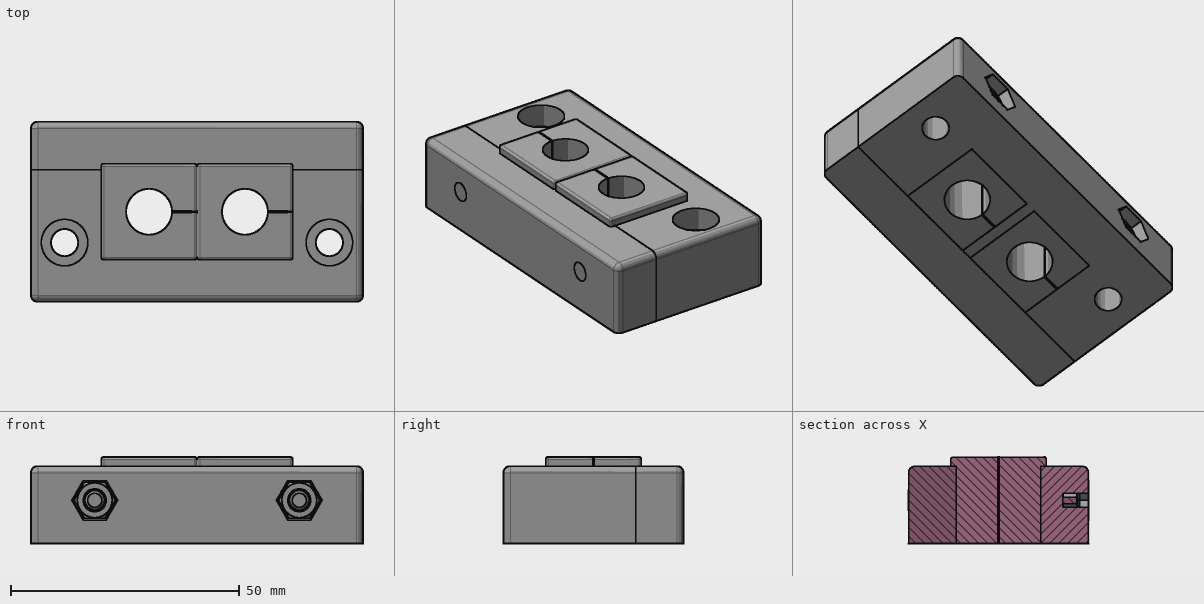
import cadquery as cq
import math

housing_length = 72.8
housing_width = 39.5
housing_height = 17.0
housing_round = 1.5
parting_y = 9.25

flange_size = 21.0
flange_thickness = 2.0
flange_round = 0.55
neck_size = 2 * parting_y
cable_hole_diameter = 10.0
slit_width = 0.3
grommet_xs = (-flange_size / 2, flange_size / 2)
grommet_height = housing_height + flange_thickness

mounting_x = 29.0
mounting_y = -6.75
mounting_hole_diameter = 5.9
counterbore_diameter = 10.2
counterbore_depth = 5.3

front_y = -housing_width / 2
rear_y = housing_width / 2
screw_x = 22.4
screw_z = 9.5
screw_diameter = 4.3
screw_tip_diameter = 3.1
screw_tip_length = 0.5
screw_tip_depth = 2.0
nut_across_flats = 7.9
nut_thickness = 3.2
nut_face_depth = 2.4
nut_face_diameter = 7.6
nut_mouth_diameter = 5.0
nut_chamfer_angle = 30.0
recess_across_flats = 8.65
recess_depth = nut_face_depth + nut_thickness


def mirrored_pair(x):
    return (-x, x)


def cylinder_along_y(diameter, x, y_start, y_end):
    """Cylinder at the height of the screws."""
    start = cq.Vector(x, y_start, screw_z)
    return cq.Workplane(cq.Solid.makeCylinder(diameter / 2, y_end - y_start, start, cq.Vector(0, 1, 0)))


def cone_along_y(start_diameter, end_diameter, x, y_start, y_end):
    """Cone at the height of the screws."""
    start = cq.Vector(x, y_start, screw_z)
    length = y_end - y_start
    return cq.Workplane(
        cq.Solid.makeCone(start_diameter / 2, end_diameter / 2, length, start, cq.Vector(0, 1, 0))
    )


def hexagon_along_y(across_flats, x, y_start, y_end):
    """Hexagonal prism at the height of the screws, with two corners pointing along X."""
    across_corners = across_flats / math.cos(math.pi / 6)
    start_plane = cq.Plane(origin=(x, y_start, screw_z), xDir=(1, 0, 0), normal=(0, 1, 0))
    return cq.Workplane(start_plane).polygon(6, across_corners).extrude(y_end - y_start)


def make_housing_block():
    """The whole housing with all its openings, before it is parted."""
    block = cq.Workplane("XY").box(housing_length, housing_width, housing_height, centered=(True, True, False))
    block = block.edges("|Z or >Z").fillet(housing_round)
    for x in grommet_xs:
        opening = cq.Workplane("XY").center(x, 0).rect(neck_size, neck_size).extrude(housing_height)
        block = block.cut(opening)
    block = (
        block.faces(">Z").workplane(origin=(0, 0, housing_height))
        .pushPoints([(x, mounting_y) for x in mirrored_pair(mounting_x)])
        .cboreHole(mounting_hole_diameter, counterbore_diameter, counterbore_depth)
    )
    for x in mirrored_pair(screw_x):
        block = block.cut(cylinder_along_y(screw_diameter, x, front_y, rear_y))
        block = block.cut(hexagon_along_y(recess_across_flats, x, front_y, front_y + recess_depth))
    return block


def part_housing(block):
    """Split the housing at the parting plane into the front frame and the rear clamp bar."""
    rear_space = cq.Workplane("XY").box(
        housing_length, housing_width, housing_height, centered=(True, False, False)
    ).translate((0, parting_y, 0))
    return block.cut(rear_space), block.intersect(rear_space)


def make_grommet(x):
    flange = (
        cq.Workplane("XY").workplane(offset=housing_height)
        .rect(flange_size, flange_size).extrude(flange_thickness)
        .edges("|Z or >Z").fillet(flange_round)
    )
    neck = cq.Workplane("XY").rect(neck_size, neck_size).extrude(housing_height)
    cable_hole = cq.Workplane("XY").circle(cable_hole_diameter / 2).extrude(grommet_height)
    slit = cq.Workplane("XY").box(flange_size / 2, slit_width, grommet_height, centered=(False, True, False))
    return neck.union(flange).cut(cable_hole).cut(slit).translate((x, 0, 0))


def make_screw(x):
    tip_y = front_y + screw_tip_depth
    shank_y = tip_y + screw_tip_length
    tip = cone_along_y(screw_tip_diameter, screw_diameter, x, tip_y, shank_y)
    return tip.union(cylinder_along_y(screw_diameter, x, shank_y, rear_y))


def make_nut(x):
    """Hexagon nut with its outer corners turned down and a countersunk mouth."""
    face_y = front_y + nut_face_depth
    back_y = face_y + nut_thickness
    growth = 2 * nut_thickness / math.tan(math.radians(nut_chamfer_angle))
    corner_cone = cone_along_y(nut_face_diameter, nut_face_diameter + growth, x, face_y, back_y)
    mouth_depth = (nut_mouth_diameter - screw_diameter) / 2
    mouth = cone_along_y(nut_mouth_diameter, screw_diameter, x, face_y, face_y + mouth_depth)
    nut = hexagon_along_y(nut_across_flats, x, face_y, back_y).intersect(corner_cone)
    return nut.cut(cylinder_along_y(screw_diameter, x, face_y, back_y)).cut(mouth)


front_frame, rear_bar = part_housing(make_housing_block())
grommets = [make_grommet(x).val() for x in grommet_xs]
screws = [make_screw(x).val() for x in mirrored_pair(screw_x)]
nuts = [make_nut(x).val() for x in mirrored_pair(screw_x)]

result = cq.Compound.makeCompound([front_frame.val(), rear_bar.val(), *grommets, *screws, *nuts])